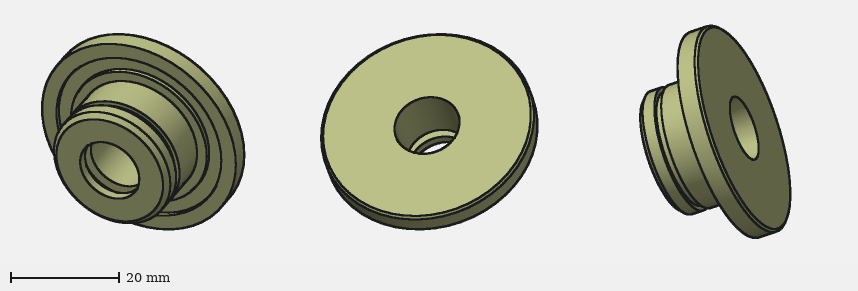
import cadquery as cq

flange_diameter = 40.0
flange_thickness = 4.0
flange_chamfer = 0.5
overall_length = 16.0

nose_diameter = 24.0
nose_chamfer = 1.0
bore_diameter = 12.2

recess_outer_diameter = 34.0
recess_inner_diameter = 28.0
recess_depth = 1.0

outer_groove_diameter = 22.2
outer_groove_width = 1.4
outer_groove_setback = 3.4

inner_groove_diameter = 16.2
inner_groove_width = 2.4
bore_lip_length = 2.0

nose_tip_y = -overall_length / 2
flange_back_y = overall_length / 2
flange_face_y = flange_back_y - flange_thickness


def disc(diameter, start_y, length):
    """Solid cylinder on the Y axis, running from start_y toward +Y."""
    base = cq.Workplane("XZ", origin=(0, start_y, 0))
    return base.circle(diameter / 2).extrude(-length)


def ring(outer_diameter, inner_diameter, start_y, length):
    """Tube on the Y axis, running from start_y toward +Y."""
    return disc(outer_diameter, start_y, length).cut(disc(inner_diameter, start_y, length))


flange = disc(flange_diameter, flange_face_y, flange_thickness)
flange = flange.faces(">Y").chamfer(flange_chamfer)
nose = disc(nose_diameter, nose_tip_y, overall_length - flange_thickness)
nose = nose.faces("<Y").chamfer(nose_chamfer)
body = flange.union(nose)

bore = disc(bore_diameter, nose_tip_y, overall_length)
inner_groove = disc(inner_groove_diameter, nose_tip_y + bore_lip_length, inner_groove_width)
outer_groove = ring(
    nose_diameter, outer_groove_diameter, nose_tip_y + outer_groove_setback, outer_groove_width
)
face_recess = ring(recess_outer_diameter, recess_inner_diameter, flange_face_y, recess_depth)

result = body.cut(bore).cut(inner_groove).cut(outer_groove).cut(face_recess)